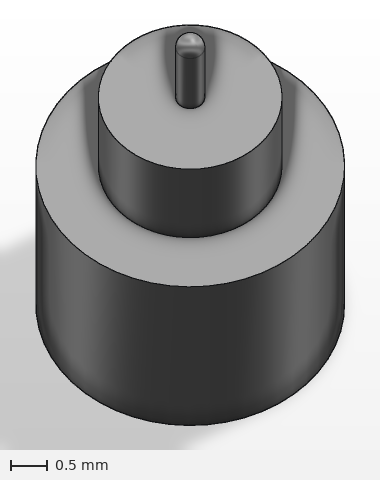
import cadquery as cq

total_height = 5.85
base_diameter = 4.2
base_height = 3.05
collar_diameter = 2.5
collar_height = 1.505
pin_diameter = 0.4

pin_radius = pin_diameter / 2
pin_height = total_height - base_height - collar_height

base = cq.Workplane("XY").circle(base_diameter / 2).extrude(base_height)
body = base.faces(">Z").workplane().circle(collar_diameter / 2).extrude(collar_height)

pin_shaft_height = pin_height - pin_radius
part = body.faces(">Z").workplane().circle(pin_radius).extrude(pin_shaft_height)
tip_center = (0, 0, total_height - pin_radius)
pin_tip = cq.Workplane("XY").sphere(pin_radius).translate(tip_center)

result = part.union(pin_tip)